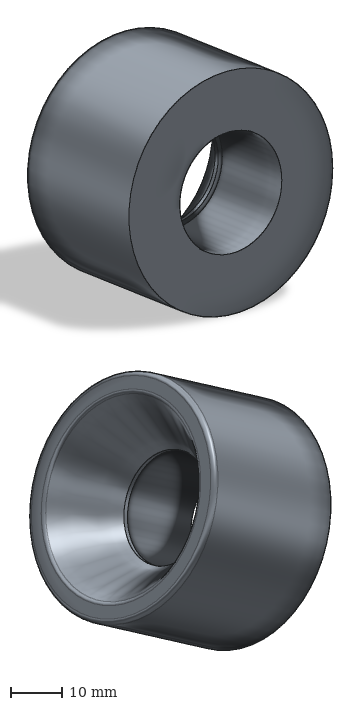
import cadquery as cq

length = 33.0
outer_diameter = 50.0
mouth_diameter = 41.65
throat_diameter = 23.0
bore_diameter = 25.0
flare_depth = 13.0
throat_length = 1.0
edge_radius = 1.0

throat_end = flare_depth + throat_length


def cylinder_along_x(diameter, start, end):
    return cq.Workplane("YZ").workplane(offset=start).circle(diameter / 2).extrude(end - start)


body = cylinder_along_x(outer_diameter, 0, length)

flare = (
    cq.Workplane("YZ")
    .circle(mouth_diameter / 2)
    .workplane(offset=flare_depth)
    .circle(throat_diameter / 2)
    .loft(ruled=True)
)
body = body.cut(flare)

body = body.faces("<X").edges().fillet(edge_radius)

throat = cylinder_along_x(throat_diameter, flare_depth, throat_end)
bore = cylinder_along_x(bore_diameter, throat_end, length)
result = body.cut(throat).cut(bore)